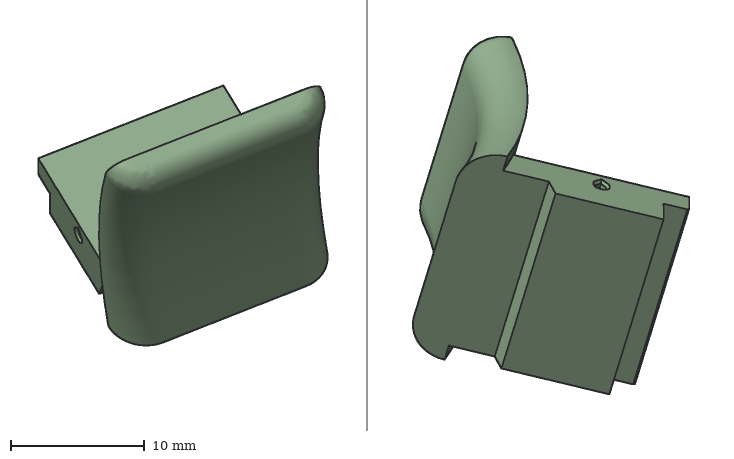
import cadquery as cq
import math

part_length = 17.6
part_height = 21.63

plate_width = 17.9
plate_thickness = 3.0
plate_bottom = 1.62
plate_front_radius = 32.45
plate_top_fillet = 1.5

base_width = 15.42
base_top = 4.5
front_step_length = 2.0
front_step_height = 2.47
step_chamfer = 0.15
foot_end_bottom = 10.35
foot_end_top = 10.88

hole_x = 6.8
hole_z = 3.05
hole_radius = 0.43
hole_chamfer = 0.22

plate_back_radius = plate_front_radius - plate_thickness
bend_z = (plate_bottom + part_height) / 2
half_plate_height = (part_height - plate_bottom) / 2
bend_x = part_length + math.sqrt(plate_back_radius**2 - half_plate_height**2)


def plate_front_x(z):
    """X of the plate's front face at height z."""
    return bend_x - math.sqrt(plate_front_radius**2 - (z - bend_z) ** 2)


def make_plate():
    """Curved plate whose back corners are rounded over the full thickness."""
    front = bend_x - plate_front_radius
    back = bend_x - plate_back_radius
    half_width = plate_width / 2
    half_flat = half_width - plate_thickness
    corner_offset = plate_thickness * math.sqrt(0.5)
    ring = (
        cq.Workplane("XY", origin=(0, 0, bend_z))
        .moveTo(front, -half_width)
        .threePointArc((front + corner_offset, -half_flat - corner_offset), (back, -half_flat))
        .lineTo(back, half_flat)
        .threePointArc((front + corner_offset, half_flat + corner_offset), (front, half_width))
        .close()
        .revolve(360, (bend_x, 0, 0), (bend_x, 1, 0))
    )
    height_limits = cq.Workplane("XY", origin=(0, 0, plate_bottom)).box(
        part_length, plate_width, part_height - plate_bottom, centered=(False, True, False)
    )
    plate = ring.intersect(height_limits)
    rounded_edges = plate.faces(">Z").edges().filter(
        lambda edge: edge.Center().x > plate_front_x(part_height) + plate_thickness / 10
    )
    return plate.newObject(rounded_edges.vals()).fillet(plate_top_fillet)


def make_base():
    """Stepped base ending against the curved front face of the plate."""
    return (
        cq.Workplane("XZ")
        .moveTo(step_chamfer, front_step_height)
        .lineTo(front_step_length, front_step_height)
        .lineTo(front_step_length, 0)
        .lineTo(foot_end_bottom, 0)
        .lineTo(foot_end_top, plate_bottom)
        .lineTo(plate_front_x(plate_bottom), plate_bottom)
        .threePointArc(
            (plate_front_x((plate_bottom + base_top) / 2), (plate_bottom + base_top) / 2),
            (plate_front_x(base_top), base_top),
        )
        .lineTo(0, base_top)
        .lineTo(0, front_step_height + step_chamfer)
        .close()
        .extrude(base_width / 2, both=True)
    )


def teardrop(y, radius):
    """Teardrop outline at the given y: a circle with a right-angled point on top."""
    tangent_offset = radius * math.sqrt(0.5)
    return (
        cq.Workplane("XZ", origin=(hole_x, y, hole_z))
        .moveTo(-tangent_offset, tangent_offset)
        .threePointArc((0, -radius), (tangent_offset, tangent_offset))
        .lineTo(0, radius * math.sqrt(2))
        .close()
    )


def make_hole():
    """Teardrop hole through the base, chamfered at both ends."""
    half_width = base_width / 2
    hole = teardrop(half_width, hole_radius).extrude(base_width)
    for side in (-1, 1):
        mouth = teardrop(side * half_width, hole_radius + hole_chamfer)
        throat = teardrop(side * (half_width - hole_chamfer), hole_radius)
        flare = cq.Solid.makeLoft([mouth.val(), throat.val()], True)
        hole = hole.union(cq.Workplane(flare))
    return hole


result = make_plate().union(make_base()).cut(make_hole())